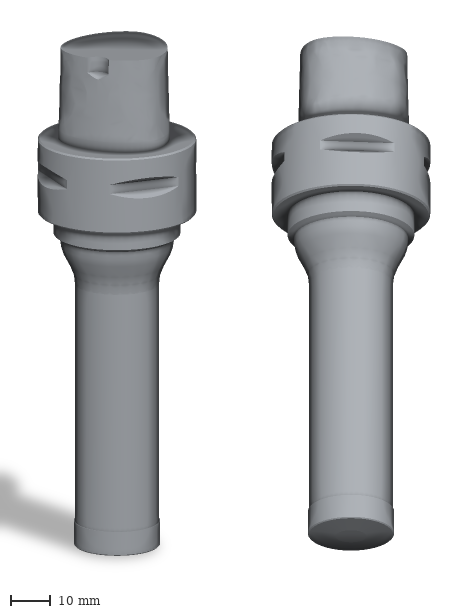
import cadquery as cq
import math

TOTAL_LENGTH = 131.0
SHANK_LENGTH = 23.8
TAPER_LENGTH = 21.4
FLANGE_LENGTH = 19.6
NECK_LENGTH = 5.4
NECK_CHAMFER_LENGTH = 0.9
TRANSITION_LENGTH = 12.3
TIP_COLLAR_LENGTH = 6.8

FLANGE_DIAMETER = 40.0
NECK_DIAMETER = 32.0
TRANSITION_DIAMETER = 29.0
STEM_DIAMETER = 21.2
TIP_COLLAR_DIAMETER = 21.7
FLANGE_CHAMFER = 0.4

SHANK_RADIUS = 14.0
LOBE_HEIGHT = 0.8
TAPER_RATIO = 1 / 20
LOBE_COUNT = 3
LOBE_DIRECTION = math.pi / 2
OUTLINE_POINTS = 36

NOTCH_DIAMETER = 6.2
NOTCH_STRAIGHT_DEPTH = 3.9
NOTCH_AXIS_Y = -13.6
DRILL_POINT_ANGLE = 120.0

GROOVE_COUNT = 4
GROOVE_START_ANGLE = 45.0
GROOVE_DEPTH = 2.4
GROOVE_FLOOR_HEIGHT = 2.4
GROOVE_MOUTH_HEIGHT = 5.2
GROOVE_BELOW_FLANGE_TOP = 8.0

TIP_END_HEIGHT = 0.8
TIP_FLAT_DIAMETER = 7.9
TIP_EDGE_CHAMFER = 0.3

flange_top = TOTAL_LENGTH - SHANK_LENGTH
taper_bottom = TOTAL_LENGTH - TAPER_LENGTH
flange_bottom = flange_top - FLANGE_LENGTH
neck_bottom = flange_bottom - NECK_LENGTH
transition_top = neck_bottom - NECK_CHAMFER_LENGTH
transition_bottom = transition_top - TRANSITION_LENGTH


def lobed_outline(level, radius):
    """Closed constant-width outline with three lobes, one of them towards +Y."""
    points = []
    for index in range(OUTLINE_POINTS):
        angle = 2 * math.pi * index / OUTLINE_POINTS
        phase = LOBE_COUNT * (angle - LOBE_DIRECTION)
        support = radius + LOBE_HEIGHT * math.cos(phase)
        slope = -LOBE_COUNT * LOBE_HEIGHT * math.sin(phase)
        x = support * math.cos(angle) - slope * math.sin(angle)
        y = support * math.sin(angle) + slope * math.cos(angle)
        points.append(cq.Vector(x, y, level))
    return cq.Wire.assembleEdges([cq.Edge.makeSpline(points, periodic=True)])


def make_shank():
    top_radius = SHANK_RADIUS - TAPER_LENGTH * TAPER_RATIO / 2
    base = lobed_outline(flange_top, SHANK_RADIUS)
    taper_start = lobed_outline(taper_bottom, SHANK_RADIUS)
    top = lobed_outline(TOTAL_LENGTH, top_radius)
    straight = cq.Solid.makeLoft([base, taper_start], True)
    tapered = cq.Solid.makeLoft([taper_start, top], True)
    return cq.Workplane(straight).union(cq.Workplane(tapered))


def make_turned_body():
    """Flange, neck, S-curved transition and stem turned about the Z axis."""
    flange_radius = FLANGE_DIAMETER / 2
    neck_radius = NECK_DIAMETER / 2
    transition_radius = TRANSITION_DIAMETER / 2
    stem_radius = STEM_DIAMETER / 2
    return (
        cq.Workplane("XZ")
        .moveTo(0, flange_top)
        .lineTo(flange_radius - FLANGE_CHAMFER, flange_top)
        .lineTo(flange_radius, flange_top - FLANGE_CHAMFER)
        .lineTo(flange_radius, flange_bottom + FLANGE_CHAMFER)
        .lineTo(flange_radius - FLANGE_CHAMFER, flange_bottom)
        .lineTo(neck_radius, flange_bottom)
        .lineTo(neck_radius, neck_bottom)
        .lineTo(transition_radius, transition_top)
        .spline(
            [(stem_radius, transition_bottom)],
            tangents=[(0, -1), (0, -1)],
            includeCurrent=True,
        )
        .lineTo(stem_radius, TIP_COLLAR_LENGTH)
        .lineTo(0, TIP_COLLAR_LENGTH)
        .close()
        .revolve(360, (0, 0, 0), (0, 1, 0))
    )


def make_notch_cutter():
    radius = NOTCH_DIAMETER / 2
    straight_bottom = TOTAL_LENGTH - NOTCH_STRAIGHT_DEPTH
    point_length = radius / math.tan(math.radians(DRILL_POINT_ANGLE / 2))
    return (
        cq.Workplane("XZ", origin=(0, NOTCH_AXIS_Y, 0))
        .moveTo(0, TOTAL_LENGTH)
        .lineTo(radius, TOTAL_LENGTH)
        .lineTo(radius, straight_bottom)
        .lineTo(0, straight_bottom - point_length)
        .close()
        .revolve(360, (0, 0, 0), (0, 1, 0))
    )


def make_groove_cutter(angle):
    """Straight trapezoidal groove across the flange, facing the given angle."""
    mouth = FLANGE_DIAMETER / 2
    floor = mouth - GROOVE_DEPTH
    level = flange_top - GROOVE_BELOW_FLANGE_TOP
    half_floor = GROOVE_FLOOR_HEIGHT / 2
    half_mouth = GROOVE_MOUTH_HEIGHT / 2
    return (
        cq.Workplane("XZ")
        .polyline([
            (floor, level - half_floor),
            (mouth, level - half_mouth),
            (mouth, level + half_mouth),
            (floor, level + half_floor),
        ])
        .close()
        .extrude(FLANGE_DIAMETER / 2, both=True)
        .rotate((0, 0, 0), (0, 0, 1), angle)
    )


def make_holder():
    holder = make_turned_body().union(make_shank()).cut(make_notch_cutter())
    for index in range(GROOVE_COUNT):
        angle = GROOVE_START_ANGLE + index * 360 / GROOVE_COUNT
        holder = holder.cut(make_groove_cutter(angle))
    return holder


def make_tip_collar():
    """Collar at the lower end of the stem, its end a shallow cone around a small flat."""
    radius = TIP_COLLAR_DIAMETER / 2
    return (
        cq.Workplane("XZ")
        .moveTo(0, TIP_COLLAR_LENGTH)
        .lineTo(radius, TIP_COLLAR_LENGTH)
        .lineTo(radius, TIP_END_HEIGHT)
        .lineTo(radius - TIP_EDGE_CHAMFER, TIP_END_HEIGHT - TIP_EDGE_CHAMFER)
        .lineTo(TIP_FLAT_DIAMETER / 2, 0)
        .lineTo(0, 0)
        .close()
        .revolve(360, (0, 0, 0), (0, 1, 0))
    )


holder = make_holder()
tip_collar = make_tip_collar()
result = cq.Compound.makeCompound([holder.val(), tip_collar.val()])